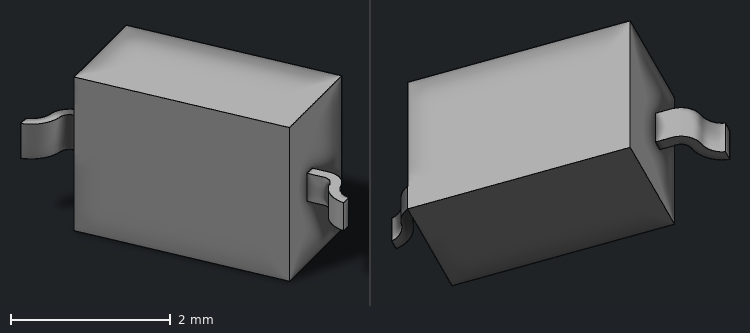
import cadquery as cq
import math

overall_length = 4.5
body_length = 3.0
body_depth = 1.5
body_height = 2.2

lead_thickness = 0.15
lead_top_height = 0.65
straight_length = 0.23
shoulder_radius = 0.15
foot_radius = 0.45
bend_angle = 80.0
left_lead_width = 0.5
right_lead_width = 0.4


def polar(center, radius, angle):
    """Point at a radius and an angle in degrees around a centre."""
    turn = math.radians(angle)
    return (center[0] + radius * math.cos(turn), center[1] + radius * math.sin(turn))


def make_lead(width):
    """S-bent lead leaving the +X face of the body, centred in Z."""
    root_x = body_length / 2
    bend_x = root_x + straight_length
    tip_x = overall_length / 2
    top_y = -body_depth / 2 + lead_top_height
    under_y = top_y - lead_thickness

    joint_angle = 90 - bend_angle
    shoulder_center = (bend_x, under_y - shoulder_radius)
    foot_center = polar(shoulder_center, shoulder_radius + foot_radius, joint_angle)
    shoulder_outer_radius = shoulder_radius + lead_thickness
    foot_inner_radius = foot_radius - lead_thickness
    shoulder_mid_angle = (90 + joint_angle) / 2

    def foot_points(radius):
        """Joint, middle and tip of a foot arc cut off at the lead end."""
        start_angle = 180 + joint_angle
        tip_angle = 180 + math.degrees(math.acos((foot_center[0] - tip_x) / radius))
        angles = (start_angle, (start_angle + tip_angle) / 2, tip_angle)
        return [polar(foot_center, radius, angle) for angle in angles]

    upper_joint, upper_mid, upper_tip = foot_points(foot_inner_radius)
    lower_joint, lower_mid, lower_tip = foot_points(foot_radius)

    return (
        cq.Workplane("XY")
        .moveTo(root_x, under_y)
        .lineTo(root_x, top_y)
        .lineTo(bend_x, top_y)
        .threePointArc(polar(shoulder_center, shoulder_outer_radius, shoulder_mid_angle), upper_joint)
        .threePointArc(upper_mid, upper_tip)
        .lineTo(*lower_tip)
        .threePointArc(lower_mid, lower_joint)
        .threePointArc(polar(shoulder_center, shoulder_radius, shoulder_mid_angle), (bend_x, under_y))
        .close()
        .extrude(width / 2, both=True)
    )


body = cq.Workplane("XY").box(body_length, body_depth, body_height)
right_lead = make_lead(right_lead_width)
left_lead = make_lead(left_lead_width).mirror("YZ")

result = body.union(right_lead).union(left_lead)